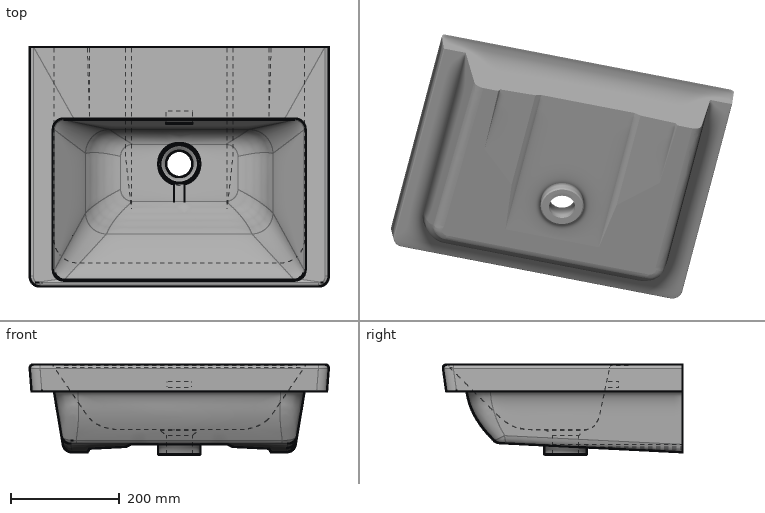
import cadquery as cq
import math


WIDTH = 549.5
DEPTH = 440.0
HEIGHT = 166.5
RIM_HEIGHT = 50.0
RIM_ROUND = 7.0
RIM_BAND = 7.5
RIM_CORNER = 19.0
RIM_SIDE_DRAFT = 3.5
RIM_FRONT_DRAFT = 6.0
RIM_LOWER_ROUND = 2.0

DECK_DROP = 2.0
DECK_MITRE_HALF = 192.5
DECK_FRONT_SLOPE = 10.5

BOWL_HALF = 229.0
BOWL_BACK = -134.0
BOWL_FRONT = -427.5
BOWL_CORNER = 18.0
BOWL_LIP = 4.0
BOWL_FRONT_LIP = 2.0
BOWL_LIP_DEPTH = 6.0
CREASE_HALF = 172.0
CREASE_BACK = -151.5
CREASE_FRONT = -343.5
CREASE_BACK_CORNER = 44.0
CREASE_FRONT_CORNER = 38.5
CREASE_DEPTH = 89.5
FLOOR_HALF = 107.5
FLOOR_BACK = -179.0
FLOOR_FRONT = -283.5
FLOOR_CORNER = 22.0
FLOOR_DEPTH = 120.0
COVE_STEPS = 5

BODY_CORNER = 44.0
BODY_BACK_HEIGHT = 161.5
BODY_FRONT_HEIGHT = 139.5
BODY_BOTTOM_ROUND = 17.5
BODY_HALF_TOP = 230.0
BODY_HALF_BOTTOM = 210.5
BODY_SECTIONS = [
    (RIM_HEIGHT, 396.5, BODY_CORNER),
    (91.0, 383.5, 38.5),
    (115.5, 368.0, 33.0),
    (134.5, 351.5, 27.5),
    (167.5, 313.0, 22.0),
]

RECESS_DEPTH = 146.5
RECESS_FLAT_HALF = 88.0
RECESS_STEP_HALF = 99.0
RECESS_STEP_DEPTH = 151.5
RECESS_SLOPE_HALF = 165.0
RECESS_SLOPE_DEPTH = 155.0
RECESS_OUTER_HALF = 171.5

DRAIN_Y = -215.0
DRAIN_HOLE = 48.0
DRAIN_CONE = 69.0
DRAIN_RIM = 77.5
DRAIN_RIM_DEPTH = 1.5
DRAIN_CONE_DEPTH = 11.0
SPOUT_DIAMETER = 78.5
SPOUT_CHAMFER = 2.0
GROOVE_WIDTH = 19.0
GROOVE_DEPTH = 2.0
OVERFLOW_LENGTH = 48.0
OVERFLOW_HEIGHT = 11.0
OVERFLOW_Z = -37.0
OVERFLOW_REACH = 16.5

SIN45 = math.sin(math.pi / 4)


def u_outline(plane_z, half, front, corner):
    """Outline with a straight back at y = 0 and two rounded front corners."""
    bend = corner * (1 - SIN45)
    return (
        cq.Workplane("XY", origin=(0, 0, plane_z))
        .moveTo(-half, 0)
        .lineTo(half, 0)
        .lineTo(half, corner - front)
        .threePointArc((half - bend, bend - front), (half - corner, -front))
        .lineTo(corner - half, -front)
        .threePointArc((bend - half, bend - front), (-half, corner - front))
        .close()
        .val()
    )


def bowl_outline(plane_z, half, back, front, back_corner, front_corner):
    """Rectangle with separate corner radii at the back and the front."""
    back_bend = back_corner * (1 - SIN45)
    front_bend = front_corner * (1 - SIN45)
    return (
        cq.Workplane("XY", origin=(0, 0, plane_z))
        .moveTo(back_corner - half, back)
        .lineTo(half - back_corner, back)
        .threePointArc((half - back_bend, back - back_bend), (half, back - back_corner))
        .lineTo(half, front + front_corner)
        .threePointArc((half - front_bend, front + front_bend), (half - front_corner, front))
        .lineTo(front_corner - half, front)
        .threePointArc((front_bend - half, front + front_bend), (-half, front + front_corner))
        .lineTo(-half, back - back_corner)
        .threePointArc((back_bend - half, back - back_bend), (back_corner - half, back))
        .close()
        .val()
    )


def loft(outlines, ruled):
    wires = []
    for outline in outlines:
        wires.append(cq.Wire.assembleEdges(outline.Edges()))
    return cq.Workplane(cq.Solid.makeLoft(wires, ruled))


def make_rim():
    half = WIDTH / 2
    lower = u_outline(-RIM_HEIGHT, half - RIM_SIDE_DRAFT, DEPTH - RIM_FRONT_DRAFT, RIM_CORNER)
    widest = u_outline(-RIM_BAND, half, DEPTH, RIM_CORNER)
    skirt = loft([lower, widest], ruled=True)
    skirt = skirt.faces("<Z").edges("not(>Y)").fillet(RIM_LOWER_ROUND)
    band = cq.Workplane(cq.Solid.extrudeLinear(widest, [], cq.Vector(0, 0, RIM_BAND)))
    band = band.faces(">Z").edges("not(>Y)").fillet(RIM_ROUND)
    return skirt.union(band)


def make_body():
    top_depth = BODY_SECTIONS[0][0]
    draft = (BODY_HALF_TOP - BODY_HALF_BOTTOM) / (BODY_SECTIONS[-1][0] - top_depth)
    outlines = []
    for depth, front, corner in BODY_SECTIONS:
        half = BODY_HALF_TOP - draft * (depth - top_depth)
        outlines.append(u_outline(-depth, half, front, corner))
    body = loft(outlines, ruled=False)
    under_slope = (
        cq.Workplane("YZ")
        .polyline([
            (0, -BODY_BACK_HEIGHT),
            (-DEPTH, -BODY_FRONT_HEIGHT),
            (-DEPTH, -2 * HEIGHT),
            (0, -2 * HEIGHT),
        ])
        .close()
        .extrude(WIDTH, both=True)
    )
    body = body.cut(under_slope)
    return body.faces("<Z").edges("not(>Y)").fillet(BODY_BOTTOM_ROUND)


def make_recess():
    right = [
        (RECESS_FLAT_HALF, -RECESS_DEPTH),
        (RECESS_STEP_HALF, -RECESS_STEP_DEPTH),
        (RECESS_SLOPE_HALF, -RECESS_SLOPE_DEPTH),
        (RECESS_OUTER_HALF, -HEIGHT),
    ]
    left = [(-x, z) for x, z in reversed(right)]
    return cq.Workplane("XZ").polyline(right + left).close().extrude(DEPTH)


def rectangle_wire(plane_z, half, back, front):
    corners = [(-half, back), (half, back), (half, front), (-half, front)]
    return cq.Wire.makePolygon([cq.Vector(x, y, plane_z) for x, y in corners], close=True)


def make_deck_dish():
    """Shallow dish whose slopes meet in mitre lines from the back corners to the bowl."""
    front = RIM_ROUND - DEPTH
    upper = rectangle_wire(0, WIDTH / 2 - RIM_ROUND, 0, front)
    lower = rectangle_wire(-DECK_DROP, DECK_MITRE_HALF, BOWL_BACK, front + DECK_FRONT_SLOPE)
    return cq.Workplane(cq.Solid.makeLoft([lower, upper], True))


def cove_reach(upper, crease, floor, progress):
    """Quadratic curve that leaves the crease along the wall and ends level with the floor."""
    wall_hit = crease + (crease - upper) * (FLOOR_DEPTH - CREASE_DEPTH) / CREASE_DEPTH
    rest = 1 - progress
    return rest**2 * crease + 2 * rest * progress * wall_hit + progress**2 * floor


def cove_sections():
    """Sections of the curved lower bowl, from the crease down to the floor."""
    outlines = []
    for step in range(COVE_STEPS + 1):
        progress = step / COVE_STEPS
        drop = 1 - (1 - progress)**2
        outlines.append(
            bowl_outline(
                -CREASE_DEPTH - (FLOOR_DEPTH - CREASE_DEPTH) * drop,
                cove_reach(BOWL_HALF, CREASE_HALF, FLOOR_HALF, progress),
                cove_reach(BOWL_BACK, CREASE_BACK, FLOOR_BACK, progress),
                cove_reach(BOWL_FRONT, CREASE_FRONT, FLOOR_FRONT, progress),
                CREASE_BACK_CORNER + (FLOOR_CORNER - CREASE_BACK_CORNER) * progress,
                CREASE_FRONT_CORNER + (FLOOR_CORNER - CREASE_FRONT_CORNER) * progress,
            )
        )
    return outlines


def make_bowl():
    lip = bowl_outline(
        0, BOWL_HALF + BOWL_LIP, BOWL_BACK + BOWL_LIP, BOWL_FRONT - BOWL_FRONT_LIP,
        BOWL_CORNER + BOWL_LIP, BOWL_CORNER + BOWL_LIP)
    edge = bowl_outline(-BOWL_LIP_DEPTH, BOWL_HALF, BOWL_BACK, BOWL_FRONT, BOWL_CORNER, BOWL_CORNER)
    cove = cove_sections()
    walls = loft([lip, edge, cove[0]], ruled=True)
    return walls.union(loft(cove, ruled=False))


def make_spout():
    return (
        cq.Workplane("XY", origin=(0, DRAIN_Y, -HEIGHT))
        .circle(SPOUT_DIAMETER / 2)
        .extrude(HEIGHT - FLOOR_DEPTH - DRAIN_CONE_DEPTH)
        .faces("<Z")
        .chamfer(SPOUT_CHAMFER)
    )


def make_drain():
    floor = -FLOOR_DEPTH
    return (
        cq.Workplane("XZ", origin=(0, DRAIN_Y, 0))
        .polyline([
            (0, floor),
            (DRAIN_RIM / 2, floor),
            (DRAIN_CONE / 2, floor - DRAIN_RIM_DEPTH),
            (DRAIN_HOLE / 2, floor - DRAIN_CONE_DEPTH),
            (DRAIN_HOLE / 2, -HEIGHT),
            (0, -HEIGHT),
        ])
        .close()
        .revolve(360, (0, 0), (0, 1))
    )


def make_groove():
    """Shallow channel that deepens from the front of the floor to the drain."""
    return (
        cq.Workplane("YZ")
        .polyline([
            (FLOOR_FRONT, -FLOOR_DEPTH),
            (DRAIN_Y, -FLOOR_DEPTH),
            (DRAIN_Y, -FLOOR_DEPTH - GROOVE_DEPTH),
        ])
        .close()
        .extrude(GROOVE_WIDTH / 2, both=True)
    )


def make_overflow():
    return (
        cq.Workplane("XZ", origin=(0, BOWL_BACK - OVERFLOW_REACH, OVERFLOW_Z))
        .slot2D(OVERFLOW_LENGTH, OVERFLOW_HEIGHT)
        .extrude(-2 * OVERFLOW_REACH)
    )


outside = make_rim().union(make_body().cut(make_recess())).union(make_spout())
result = outside.cut(make_deck_dish())
for cutter in (make_bowl(), make_drain(), make_groove(), make_overflow()):
    result = result.cut(cutter)